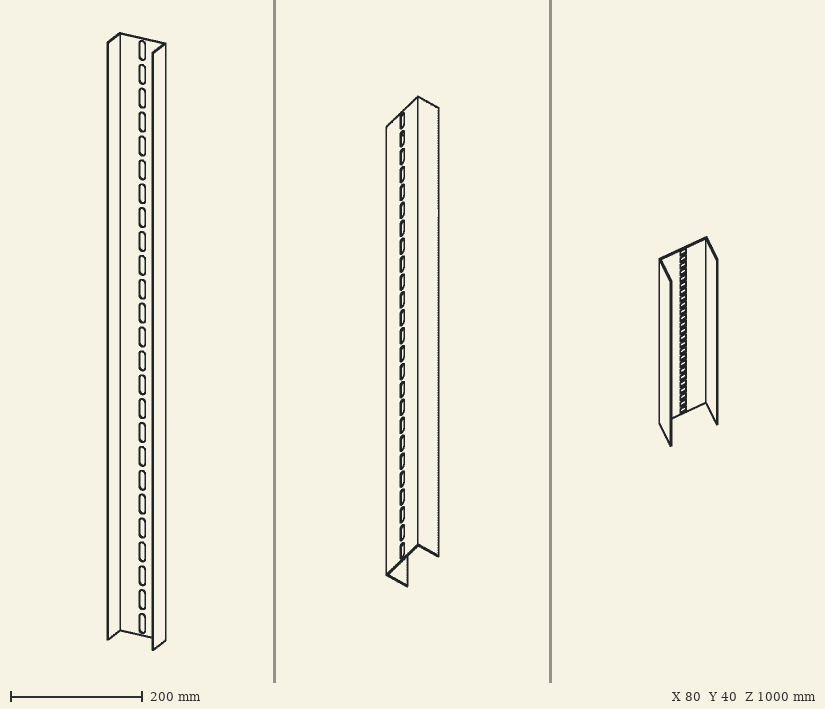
import cadquery as cq

width = 80.0
depth = 40.0
height = 1000.0
wall = 2.0

slot_count = 25
slot_pitch = height / slot_count
slot_length = 32.0
slot_width = 10.0


def make_channel():
    """U-channel standing along Z, centred in X and Y, with its open side toward -Y."""
    block = cq.Workplane("XY").box(width, depth, height, centered=(True, True, False))
    inside = (
        cq.Workplane("XY")
        .box(width - 2 * wall, depth, height, centered=(True, True, False))
        .translate((0, -wall, 0))
    )
    return block.cut(inside)


def make_slots():
    """Round-ended cutters, half a pitch in from each end of the channel."""
    return (
        cq.Workplane("XZ")
        .center(0, height / 2)
        .rarray(10, slot_pitch, 1, slot_count)
        .slot2D(slot_length, slot_width, 90)
        .extrude(-depth)
    )


result = make_channel().cut(make_slots())